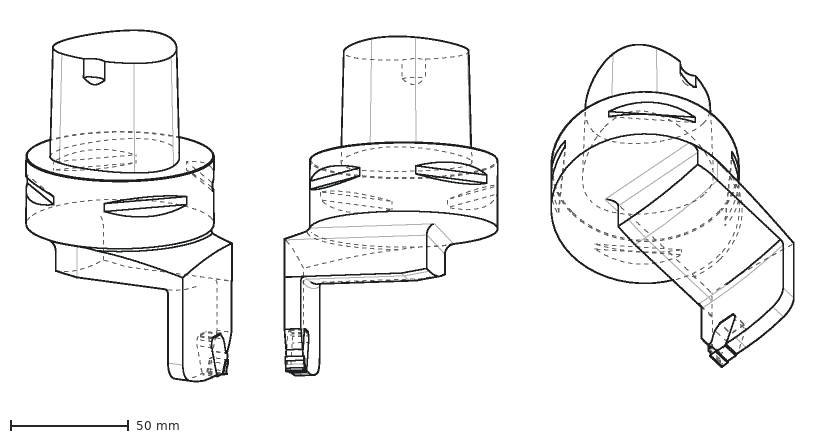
import cadquery as cq
import math


shank_height = 48.0
shank_base_radius = 27.55
shank_taper = 1 / 40
shank_lobe_offset = 2.25
shank_top_radius = shank_base_radius - shank_height * shank_taper
seam_angle = 35.0
points_per_side = 9

notch_radius = 7.0
notch_inner_y = -21.8
notch_depth = 8.1

flange_radius = 40.0
flange_height = 30.0
flange_chamfer = 0.4
groove_z = -12.0
groove_floor_distance = 35.5
groove_floor_width = 3.5
groove_side_angle = 30.0
groove_count = 4

arm_left = -11.0
arm_back = 5.77
arm_front_radius = 40.15
arm_front = -arm_front_radius
arm_bottom = -50.2
arm_bottom_arc_radius = 130.0
arm_left_slope = 0.15
arm_root_fillet = 4.0
arm_blade_fillet = 1.7
shoulder_angle = 16.0
shoulder_start_radius = 41.2
shoulder_start_z = -flange_height - 0.9

insert_right = 50.99
insert_tip_width = 8.0
blade_thickness = 7.15
insert_centre_x = insert_right - insert_tip_width / 2
blade_right = insert_centre_x + blade_thickness / 2
blade_left = insert_centre_x - blade_thickness / 2
blade_back = 5.4
blade_bottom = -88.3
blade_back_end_z = -72.7
blade_nose_middle = (3.9, -76.25)
blade_flat_start = -4.0
blade_flat_end = -13.6
blade_bottom_radius = 58.0
blade_corner_radius = 9.0
tip_z = -90.01
pocket_gap = 0.45

insert_nose_top = (1.2, -80.8)
tip_outer_top = (1.2, -83.75)
tip_inner_top = (-0.5, -83.75)
tip_inner_bottom = (-3.2, -89.1)
insert_top_front = (-12.3, -71.2)
insert_top_back = (-4.85, -71.2)

slab_height = 5.0
reach = 80.0
margin = 0.1


def arc_rise(radius, run):
    """Rise of a circle of the given radius, a distance run away from its lowest point."""
    return radius - math.sqrt(radius**2 - run**2)


def lobe_point(radius, angle, z):
    """Point of the trochoid outline; angle 0 is the middle of the flat side facing -Y."""
    a = math.radians(angle)
    outward = radius * math.cos(a) - shank_lobe_offset * math.cos(2 * a)
    sideways = radius * math.sin(a) + shank_lobe_offset * math.sin(2 * a)
    return cq.Vector(sideways, -outward, z)


def lobe_edge(radius, start, end, z):
    step = (end - start) / (points_per_side - 1)
    return cq.Edge.makeSpline([lobe_point(radius, start + i * step, z) for i in range(points_per_side)])


def lobe_wire(radius, z):
    edges = []
    for side_angle in (0, 120, 240):
        flat_end = side_angle + seam_angle
        edges.append(lobe_edge(radius, side_angle - seam_angle, flat_end, z))
        edges.append(lobe_edge(radius, flat_end, side_angle + 120 - seam_angle, z))
    return cq.Wire.assembleEdges(edges)


def make_notch():
    axis_y = notch_inner_y - notch_radius
    floor_z = shank_height - notch_depth
    half_section = [
        (0, shank_height),
        (notch_radius, shank_height),
        (notch_radius, floor_z),
        (0, floor_z - notch_radius),
    ]
    drill = cq.Workplane("XZ").polyline(half_section).close().revolve(360, (0, 0), (0, 1))
    return drill.translate((0, axis_y, 0))


def make_shank():
    wires = [lobe_wire(shank_base_radius, 0), lobe_wire(shank_top_radius, shank_height)]
    return cq.Workplane(cq.Solid.makeLoft(wires, True)).cut(make_notch())


def make_groove():
    """Trapezoid groove on the +X side, running along Y."""
    depth = 2 * (flange_radius - groove_floor_distance)
    half_floor = groove_floor_width / 2
    half_mouth = half_floor + depth * math.tan(math.radians(groove_side_angle))
    inner = groove_floor_distance
    outer = inner + depth
    section = [
        (inner, groove_z - half_floor),
        (outer, groove_z - half_mouth),
        (outer, groove_z + half_mouth),
        (inner, groove_z + half_floor),
    ]
    return cq.Workplane("XZ").polyline(section).close().extrude(flange_radius, both=True)


def make_flange():
    flange = cq.Workplane("XY").circle(flange_radius).extrude(-flange_height)
    flange = flange.faces(">Z").edges().chamfer(flange_chamfer)
    for i in range(groove_count):
        angle = 45 + i * 360 / groove_count
        flange = flange.cut(make_groove().rotate((0, 0, 0), (0, 0, 1), angle))
    return flange


def arm_section():
    """Section of the arm across X: flat at the back, then curving up to the front."""
    front_z = arm_bottom + arc_rise(arm_bottom_arc_radius, -arm_front)
    middle_y = arm_front / 2
    middle_z = arm_bottom + arc_rise(arm_bottom_arc_radius, -middle_y)
    return (
        cq.Workplane("YZ")
        .moveTo(arm_back, -flange_height)
        .lineTo(arm_back, arm_bottom)
        .lineTo(0, arm_bottom)
        .threePointArc((middle_y, middle_z), (arm_front, front_z))
        .lineTo(arm_front, -flange_height)
        .close()
    )


def make_blade():
    front_z = blade_bottom + arc_rise(blade_bottom_radius, blade_flat_end - arm_front)
    middle_y = (blade_flat_end + arm_front) / 2
    middle_z = blade_bottom + arc_rise(blade_bottom_radius, blade_flat_end - middle_y)
    blade = (
        cq.Workplane("YZ", origin=(blade_left, 0, 0))
        .moveTo(blade_back, -flange_height)
        .lineTo(blade_back, blade_back_end_z)
        .threePointArc(blade_nose_middle, insert_nose_top)
        .lineTo(blade_flat_start, blade_bottom)
        .lineTo(blade_flat_end, blade_bottom)
        .threePointArc((middle_y, middle_z), (arm_front, front_z))
        .lineTo(arm_front, -flange_height)
        .close()
        .extrude(blade_thickness)
    )
    corner = cq.selectors.NearestToPointSelector((insert_centre_x, arm_front, front_z))
    return blade.edges(corner).fillet(blade_corner_radius)


def make_shoulder_cutter():
    """Everything outside the flange and above the conical shoulder."""
    outer_z = shoulder_start_z - (reach - shoulder_start_radius) * math.tan(math.radians(shoulder_angle))
    half_section = [
        (flange_radius, slab_height),
        (flange_radius, -flange_height),
        (shoulder_start_radius, shoulder_start_z),
        (reach, outer_z),
        (reach, slab_height),
    ]
    return cq.Workplane("XZ").polyline(half_section).close().revolve(360, (0, 0), (0, 1))


def make_front_limit():
    """Plan outline of the front: round with the flange for X < 0, straight for X > 0."""
    depth = tip_z - slab_height
    round_part = cq.Workplane("XY", origin=(0, 0, slab_height)).circle(arm_front_radius).extrude(depth)
    straight_part = (
        cq.Workplane("XY", origin=(0, 0, slab_height))
        .rect(reach, -2 * arm_front)
        .extrude(depth)
        .translate((reach / 2, 0, 0))
    )
    return round_part.union(straight_part)


def make_arm():
    main = arm_section().extrude(blade_right)
    section_face = cq.Face.makeFromWires(arm_section().wire().val())
    climb = cq.Vector(arm_left, 0, -arm_left * arm_left_slope)
    left = cq.Workplane(cq.Solid.extrudeLinear(section_face, climb))
    flange_bottom = cq.Workplane("XY", origin=(0, 0, -flange_height))
    below_flange = flange_bottom.circle(reach).extrude(tip_z)
    arm = main.union(left.intersect(below_flange))
    arm = arm.union(make_blade())

    arm_front_bottom = arm_bottom + arc_rise(arm_bottom_arc_radius, -arm_front)
    inner_edges = cq.selectors.BoxSelector(
        (blade_left - margin, arm_front - margin, arm_bottom - margin),
        (blade_left + margin, arm_back + margin, arm_front_bottom + margin),
        boundingbox=True,
    )
    arm = arm.edges(inner_edges).edges("not |Z").fillet(arm_blade_fillet)
    arm = arm.union(flange_bottom.circle(reach).extrude(slab_height))
    left_root = (arm_left, (arm_front + arm_back) / 2, -flange_height)
    back_root = ((arm_left + blade_right) / 2, arm_back, -flange_height)
    left_edge = cq.selectors.NearestToPointSelector(left_root)
    back_edge = cq.selectors.NearestToPointSelector(back_root)
    arm = arm.edges(cq.selectors.SumSelector(left_edge, back_edge)).fillet(arm_root_fillet)
    return arm.intersect(make_front_limit()).cut(make_shoulder_cutter())


def make_insert_body():
    """Shank of the insert, as thick as the blade."""
    return (
        cq.Workplane("YZ", origin=(blade_left, 0, 0))
        .moveTo(*tip_outer_top)
        .threePointArc((1.6, -82.7), insert_nose_top)
        .lineTo(0.3, -80.75)
        .lineTo(-0.5, -79.2)
        .lineTo(-1.1, -76.7)
        .lineTo(-2.2, -73.8)
        .lineTo(*insert_top_back)
        .lineTo(*insert_top_front)
        .lineTo(-13.1, -72.3)
        .lineTo(-13.1, -75.0)
        .lineTo(-8.95, -86.9)
        .lineTo(-7.8, -89.1)
        .lineTo(*tip_inner_bottom)
        .lineTo(*tip_inner_top)
        .close()
        .extrude(blade_thickness)
    )


def make_insert_tip():
    """Cutting tip of the insert, slightly wider than the blade."""
    return (
        cq.Workplane("YZ", origin=(insert_right - insert_tip_width, 0, 0))
        .moveTo(*tip_outer_top)
        .lineTo(1.2, -85.6)
        .lineTo(0.35, -86.9)
        .lineTo(-0.15, -88.5)
        .lineTo(0.35, tip_z)
        .lineTo(0.1, -89.6)
        .lineTo(-2.9, -89.5)
        .lineTo(*tip_inner_bottom)
        .lineTo(*tip_inner_top)
        .close()
        .extrude(insert_tip_width)
    )


def make_pocket_gap():
    """Narrow slot in the blade above the flat top of the insert."""
    width = insert_top_back[0] - insert_top_front[0]
    middle_y = (insert_top_back[0] + insert_top_front[0]) / 2
    gap = cq.Workplane("XY").box(blade_thickness, width, pocket_gap, centered=(True, True, False))
    return gap.translate((insert_centre_x, middle_y, insert_top_back[1]))


insert = make_insert_body().union(make_insert_tip())
holder = make_shank().union(make_flange()).union(make_arm()).cut(insert).cut(make_pocket_gap())

result = cq.Compound.makeCompound([holder.val(), insert.val()])